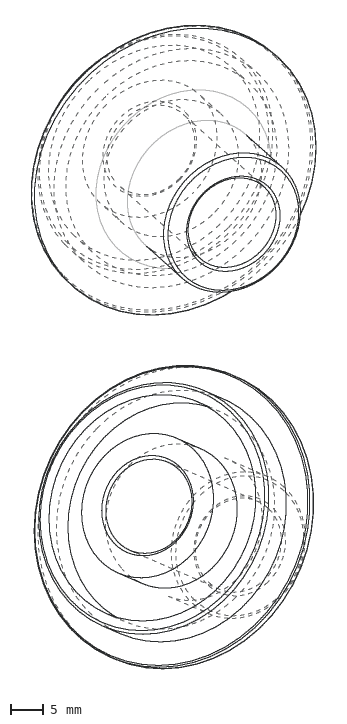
import cadquery as cq
import math

total_length = 32.5
rim_face_x = 1.75
flange_x = 8.4
recess_floor_x = flange_x
flange_thickness = 1.55
neck_end_x = 17.9

flange_radius = 24.0
rim_outer_radius = 20.0
rim_inner_radius = 18.0
hub_radius = 11.45
tube_radius = 11.65
bore_radius = 7.5

rim_chamfer = 0.5
tube_chamfer = 0.55
bore_chamfer = 0.5
flange_chamfer = 0.25
neck_radius = 5.0

cone_start_x = flange_x + flange_thickness

neck_center_x = neck_end_x
neck_center_r = tube_radius + neck_radius
offset_x = cone_start_x - neck_center_x
offset_r = flange_radius - neck_center_r
center_distance = math.hypot(offset_x, offset_r)
tangent_angle = math.atan2(offset_r, offset_x) + math.acos(neck_radius / center_distance)
middle_angle = (tangent_angle + 1.5 * math.pi) / 2


def neck_point(angle):
    """Point on the neck circle as (axial position, radius)."""
    return (
        neck_center_x + neck_radius * math.cos(angle),
        neck_center_r + neck_radius * math.sin(angle),
    )


def revolve_about_x(profile):
    return profile.close().revolve(360, (0, 0, 0), (1, 0, 0))


body = revolve_about_x(
    cq.Workplane("XY")
    .moveTo(rim_face_x, 0)
    .lineTo(rim_face_x, rim_outer_radius - rim_chamfer)
    .lineTo(rim_face_x + rim_chamfer, rim_outer_radius)
    .lineTo(flange_x, rim_outer_radius)
    .lineTo(flange_x, flange_radius - flange_chamfer)
    .lineTo(flange_x + flange_chamfer, flange_radius)
    .lineTo(cone_start_x, flange_radius)
    .lineTo(*neck_point(tangent_angle))
    .threePointArc(neck_point(middle_angle), (neck_end_x, tube_radius))
    .lineTo(total_length - tube_chamfer, tube_radius)
    .lineTo(total_length, tube_radius - tube_chamfer)
    .lineTo(total_length, 0)
)

recess = cq.Workplane("YZ").circle(rim_inner_radius).extrude(recess_floor_x)
hub = cq.Workplane("YZ").circle(hub_radius).extrude(recess_floor_x)

bore_mouth_radius = bore_radius + bore_chamfer
bore = revolve_about_x(
    cq.Workplane("XY")
    .moveTo(0, 0)
    .lineTo(0, bore_mouth_radius)
    .lineTo(bore_chamfer, bore_radius)
    .lineTo(total_length - bore_chamfer, bore_radius)
    .lineTo(total_length, bore_mouth_radius)
    .lineTo(total_length, 0)
)

result = body.cut(recess).union(hub).cut(bore)